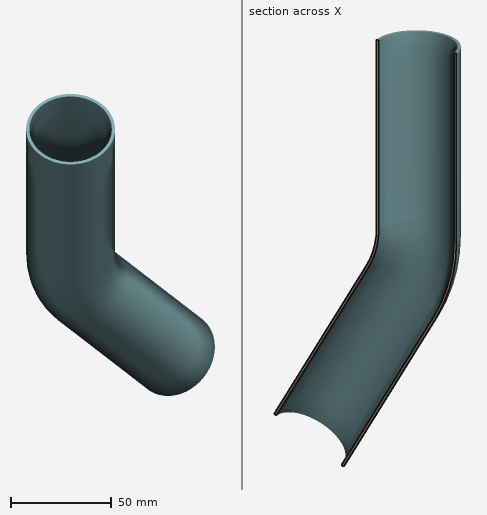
import cadquery as cq
import math

outer_diameter = 44.45
inner_diameter = 41.25

leg_length = 101.6
bend_radius = 63.5
bend_angle = 30.0


def bend_point(angle):
    """Centreline point (y, z) of the bend, turned by angle degrees from its upper end at the origin."""
    turn = math.radians(angle)
    return bend_radius * (1 - math.cos(turn)), -bend_radius * math.sin(turn)


def make_centreline():
    """Path in the YZ plane, from the top of the vertical leg down to the far end of the inclined leg."""
    bend_middle = bend_point(bend_angle / 2)
    bend_end = bend_point(bend_angle)
    slope = math.radians(bend_angle)
    lower_end = (
        bend_end[0] + leg_length * math.sin(slope),
        bend_end[1] - leg_length * math.cos(slope),
    )
    return (
        cq.Workplane("YZ")
        .moveTo(0, leg_length)
        .lineTo(0, 0)
        .threePointArc(bend_middle, bend_end)
        .lineTo(*lower_end)
    )


def make_tube():
    """Ring section at the top opening, swept along the centreline."""
    return (
        cq.Workplane("XY", origin=(0, 0, leg_length))
        .circle(outer_diameter / 2)
        .circle(inner_diameter / 2)
        .sweep(make_centreline())
    )


result = make_tube()